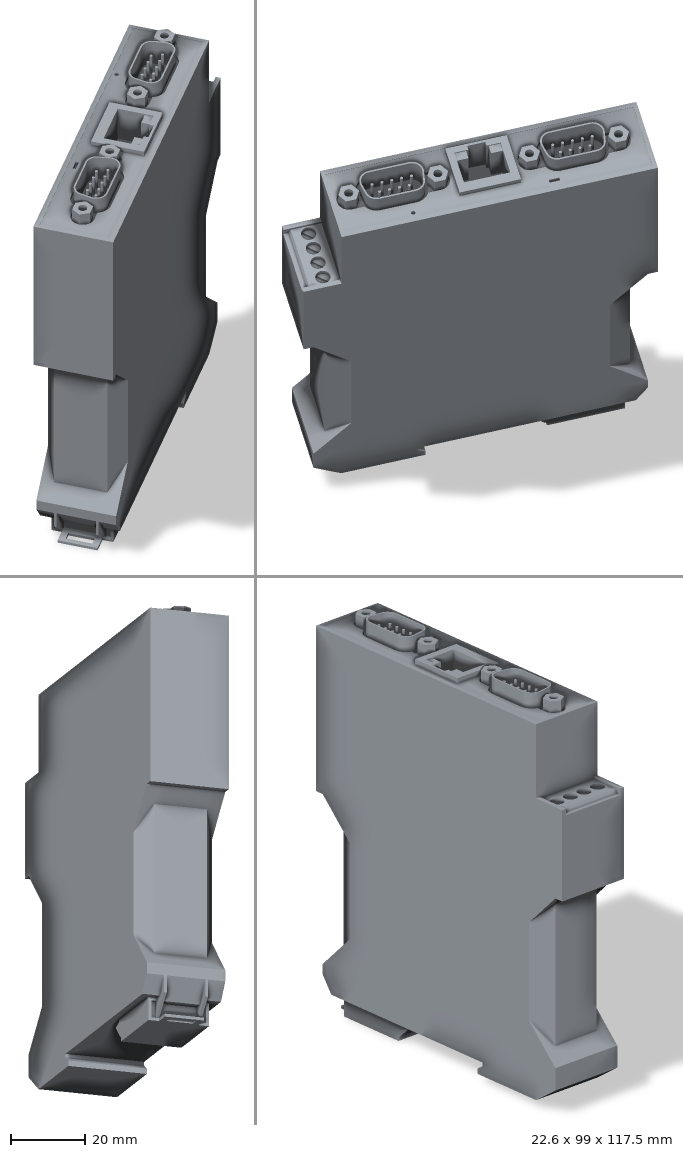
import cadquery as cq
import math

WIDTH = 22.6
LENGTH = 99.0
HEIGHT = 117.5
HALF_WIDTH = WIDTH / 2
HALF_LENGTH = LENGTH / 2

ROOF_Z = 113.5
STEP_Y = 38.9
STEP_Z = 91.6
HEAD_BOTTOM_Z = 64.6
SHOULDER_Y = 46.8
WAIST_Y = 36.1
WAIST_TOP_Z = HEAD_BOTTOM_Z - (SHOULDER_Y - WAIST_Y)
WAIST_BOTTOM_Z = 25.1
FOOT_TOP_Z = WAIST_BOTTOM_Z - (SHOULDER_Y - WAIST_Y)
BASE_Z = 6.5

REAR_FOOT_Z = 2.5
REAR_CHAMFER_Z = 7.9
REAR_CHAMFER_Y = 39.0
REAR_HOOK_Y = 15.4
REAR_NOTCH_Y = 17.5
REAR_HOOK_Z = 4.0
REAR_NOTCH_Z = 5.4

FRONT_CHAMFER_Y = 43.4
FRONT_CHAMFER_Z = 11.3

CORE_Y = 42.7
CORE_FACE_HALF = 7.5

RIM_SIDE = 1.4
RIM_REAR = 1.0
RIM_FRONT = 1.2
PANEL_DROP = 0.1
PANEL_Z = ROOF_Z - PANEL_DROP
PANEL_HALF = HALF_WIDTH - RIM_SIDE

TERMINAL_DROP = 0.7
TERMINAL_EDGE_Y = 47.5
TERMINAL_LIP_Y = 48.2
TERMINAL_LIP_DROP = 1.9
SCREW_Y = 43.1
SCREW_PITCH = 4.9
SCREW_COUNT = 4
SCREW_DIAMETER = 4.1
SCREW_SINK = 1.4
SCREW_SLOT_WIDTH = 0.7
SCREW_SLOT_DEPTH = 0.6

CONNECTOR_X = 0.2
CONNECTOR_YS = (21.4, -29.1)
SHELL_SHIFT = 0.18
SHELL_WIDTH = 9.6
SHELL_SHORT_HALF = 7.9
SHELL_TAPER = 10
SHELL_RADIUS = 3.3
SHELL_WALL = 0.5
SHELL_DEPTH = 3.5
CUTOUT_GAP = 0.9
CUTOUT_DEPTH = 1.2
CONNECTOR_FLOOR_Z = PANEL_Z - CUTOUT_DEPTH
SHELL_FLOOR_Z = PANEL_Z - SHELL_DEPTH
LUG_SPACING = 24.9
LUG_RADIUS = 3.3
NUT_FLATS = 5.0
NUT_TOP_Z = 116.6
NUT_HOLE = 2.5
PIN_PITCH = 2.76
PIN_ROW_OFFSET = 1.4
PIN_DIAMETER = 0.8
PIN_TOP_Z = 115.9

SOCKET_X = (-6.3, 8.7)
SOCKET_Y = (-12.6, 4.6)
SOCKET_TOP_Z = 115.0
PORT_X = (-3.4, 6.7)
PORT_Y = (-10.3, 2.6)
PORT_DEPTH = 10.6
LATCH_KEY_X = 8.0
LATCH_KEY_WIDTH = 5.0
LAMP_WIDTH = 2.5
LAMP_LENGTH = 3.3
LAMP_DROP = 0.4

LED_X = -8.5
LED_Y = 18.1
LED_DIAMETER = 1.2
SWITCH_X = -7.9
SWITCH_Y = -21.5
SWITCH_WIDTH = 0.9
SWITCH_LENGTH = 2.9
INDICATOR_DEPTH = 1.2

LATCH_HALF = 8.7
LATCH_FRONT_Y = -41.0
LATCH_WALL = 0.8
LATCH_MOUTH_DEPTH = 1.2
LATCH_TIP_Y = -15.0
LATCH_TIP_Z = 5.0
LATCH_ROOT_Y = -17.6
LATCH_ROOT_Z = 5.8
LATCH_HEEL_Y = -19.2
LATCH_HEEL_TOP_Y = -18.6
LATCH_HEEL_Z = 1.4
TAB_FRONT_Y = -45.6
TAB_HALF = 5.6
TAB_FRAME_SIDE = 1.9
TAB_FRAME_FRONT = 1.4
TAB_FRAME_REAR = 0.8
GUIDE_OUTER = 6.3
GUIDE_WALL = 0.8
GUIDE_CORNER_Z = BASE_Z
GUIDE_FOOT_Y = -40.4
TONGUE_BOTTOM_Z = 5.3


def box(x_range, y_range, z_range):
    """Box between two limits along each axis."""
    size = [high - low for low, high in (x_range, y_range, z_range)]
    corner = (x_range[0], y_range[0], z_range[0])
    return cq.Workplane("XY").box(*size, centered=False).translate(corner)


def side_plate(points, x_low, x_high):
    """Extrude a (Y, Z) outline between two X positions."""
    plate = cq.Workplane("YZ").polyline(points).close().extrude(x_high - x_low)
    return plate.translate((x_low, 0, 0))


def rod(x, y, diameter, z_low, z_high):
    """Upright cylinder."""
    return cq.Workplane("XY", origin=(x, y, z_low)).circle(diameter / 2).extrude(z_high - z_low)


def make_housing():
    outline = [
        (-HALF_LENGTH, ROOF_Z),
        (STEP_Y, ROOF_Z),
        (STEP_Y, STEP_Z),
        (HALF_LENGTH, STEP_Z),
        (HALF_LENGTH, HEAD_BOTTOM_Z),
        (SHOULDER_Y, HEAD_BOTTOM_Z),
        (WAIST_Y, WAIST_TOP_Z),
        (WAIST_Y, WAIST_BOTTOM_Z),
        (SHOULDER_Y, FOOT_TOP_Z),
        (SHOULDER_Y, REAR_CHAMFER_Z),
        (REAR_CHAMFER_Y, REAR_FOOT_Z),
        (REAR_HOOK_Y, REAR_FOOT_Z),
        (REAR_HOOK_Y, REAR_HOOK_Z),
        (REAR_NOTCH_Y, REAR_NOTCH_Z),
        (REAR_NOTCH_Y, BASE_Z),
        (-FRONT_CHAMFER_Y, BASE_Z),
        (-SHOULDER_Y, FRONT_CHAMFER_Z),
        (-SHOULDER_Y, FOOT_TOP_Z),
        (-WAIST_Y, WAIST_BOTTOM_Z),
        (-WAIST_Y, WAIST_TOP_Z),
        (-SHOULDER_Y, HEAD_BOTTOM_Z),
        (-HALF_LENGTH, HEAD_BOTTOM_Z),
    ]
    return side_plate(outline, -HALF_WIDTH, HALF_WIDTH)


def make_core():
    """Bevelled core that bridges the waist, ending on its sloped faces."""
    core_outline = [
        (HALF_WIDTH, WAIST_Y),
        (CORE_FACE_HALF, CORE_Y),
        (-CORE_FACE_HALF, CORE_Y),
        (-HALF_WIDTH, WAIST_Y),
        (-HALF_WIDTH, -WAIST_Y),
        (-CORE_FACE_HALF, -CORE_Y),
        (CORE_FACE_HALF, -CORE_Y),
        (HALF_WIDTH, -WAIST_Y),
    ]
    reach = CORE_Y - WAIST_Y
    bottom = WAIST_BOTTOM_Z - reach
    top = WAIST_TOP_Z + reach
    base = cq.Workplane("XY", origin=(0, 0, bottom))
    return base.polyline(core_outline).close().extrude(top - bottom)


def make_panel_recess():
    panel_y = (-HALF_LENGTH + RIM_FRONT, STEP_Y - RIM_REAR)
    return box((-PANEL_HALF, PANEL_HALF), panel_y, (PANEL_Z, HEIGHT))


def make_terminal_recess():
    """Sunken terminal surface sloping to a lower lip at the rear, and four screw seats."""
    surface_z = STEP_Z - TERMINAL_DROP
    lip_z = STEP_Z - TERMINAL_LIP_DROP
    outline = [
        (STEP_Y, STEP_Z),
        (STEP_Y, surface_z),
        (TERMINAL_EDGE_Y, surface_z),
        (TERMINAL_LIP_Y, lip_z),
        (HALF_LENGTH, lip_z),
        (HALF_LENGTH, STEP_Z),
    ]
    recess = side_plate(outline, -PANEL_HALF, PANEL_HALF)
    head_z = surface_z - SCREW_SINK
    for index in range(SCREW_COUNT):
        x = (index - (SCREW_COUNT - 1) / 2) * SCREW_PITCH
        seat = rod(x, SCREW_Y, SCREW_DIAMETER, head_z, surface_z)
        slot = (
            cq.Workplane("XY", origin=(x, SCREW_Y, head_z - SCREW_SLOT_DEPTH))
            .transformed(rotate=(0, 0, 45))
            .rect(SCREW_DIAMETER, SCREW_SLOT_WIDTH)
            .extrude(SCREW_SLOT_DEPTH)
            .intersect(rod(x, SCREW_Y, SCREW_DIAMETER, head_z - SCREW_SLOT_DEPTH, head_z))
        )
        recess = recess.union(seat).union(slot)
    return recess


def shell_prism(center_y, offset, z_low, z_high):
    """D-shaped prism, its outline grown outward by the given offset."""
    center_x = CONNECTOR_X + SHELL_SHIFT
    long_half = SHELL_SHORT_HALF + SHELL_WIDTH * math.tan(math.radians(SHELL_TAPER))
    corners = [
        (center_x - SHELL_WIDTH / 2, center_y - SHELL_SHORT_HALF),
        (center_x + SHELL_WIDTH / 2, center_y - long_half),
        (center_x + SHELL_WIDTH / 2, center_y + long_half),
        (center_x - SHELL_WIDTH / 2, center_y + SHELL_SHORT_HALF),
    ]
    return (
        cq.Workplane("XY", origin=(0, 0, z_low))
        .polyline(corners)
        .close()
        .offset2D(offset, "intersection")
        .extrude(z_high - z_low)
        .edges("|Z")
        .fillet(SHELL_RADIUS + offset)
    )


def make_connector_cutout(center_y):
    """Panel opening around the shell, with a round-ended lug at each nut."""
    cutout = shell_prism(center_y, CUTOUT_GAP, CONNECTOR_FLOOR_Z, PANEL_Z)
    lugs = (
        cq.Workplane("XY", origin=(CONNECTOR_X, center_y, CONNECTOR_FLOOR_Z))
        .slot2D(LUG_SPACING + 2 * LUG_RADIUS, 2 * LUG_RADIUS, 90)
        .extrude(CUTOUT_DEPTH)
    )
    return cutout.union(lugs)


def make_nut(y):
    height = NUT_TOP_Z - CONNECTOR_FLOOR_Z
    return (
        cq.Workplane("XY", origin=(CONNECTOR_X, y, CONNECTOR_FLOOR_Z))
        .transformed(rotate=(0, 0, 90))
        .polygon(6, NUT_FLATS / math.cos(math.pi / 6))
        .circle(NUT_HOLE / 2)
        .extrude(height)
    )


def make_pins(center_y):
    pins = cq.Workplane("XY")
    for row_offset, pin_count in ((-PIN_ROW_OFFSET, 4), (PIN_ROW_OFFSET, 5)):
        x = CONNECTOR_X + SHELL_SHIFT + row_offset
        for index in range(pin_count):
            y = center_y + (index - (pin_count - 1) / 2) * PIN_PITCH
            pins = pins.add(rod(x, y, PIN_DIAMETER, SHELL_FLOOR_Z, PIN_TOP_Z))
    return pins.combine()


def add_connector(body, center_y):
    """Open the panel and fit a hollow shell, its pins and a nut at each end."""
    body = body.cut(make_connector_cutout(center_y))
    body = body.union(shell_prism(center_y, 0.0, CONNECTOR_FLOOR_Z, HEIGHT))
    body = body.cut(shell_prism(center_y, -SHELL_WALL, SHELL_FLOOR_Z, HEIGHT))
    body = body.union(make_pins(center_y))
    for side in (-1, 1):
        body = body.union(make_nut(center_y + side * LUG_SPACING / 2))
    return body


def make_port():
    """Plug opening with a latch keyway and two lamps filling its corners."""
    bottom = SOCKET_TOP_Z - PORT_DEPTH
    heights = (bottom, SOCKET_TOP_Z)
    middle_y = sum(PORT_Y) / 2
    key_y = (middle_y - LATCH_KEY_WIDTH / 2, middle_y + LATCH_KEY_WIDTH / 2)
    port = box(PORT_X, PORT_Y, heights).union(box((PORT_X[1], LATCH_KEY_X), key_y, heights))
    lamp_x = (PORT_X[1] - LAMP_WIDTH, PORT_X[1])
    lamp_z = (bottom, SOCKET_TOP_Z - LAMP_DROP)
    port = port.cut(box(lamp_x, (PORT_Y[0], PORT_Y[0] + LAMP_LENGTH), lamp_z))
    return port.cut(box(lamp_x, (PORT_Y[1] - LAMP_LENGTH, PORT_Y[1]), lamp_z))


def make_indicator_openings():
    floor_z = PANEL_Z - INDICATOR_DEPTH
    led = rod(LED_X, LED_Y, LED_DIAMETER, floor_z, PANEL_Z)
    switch = (
        cq.Workplane("XY", origin=(SWITCH_X, SWITCH_Y, floor_z))
        .rect(SWITCH_WIDTH, SWITCH_LENGTH)
        .extrude(INDICATOR_DEPTH)
    )
    return led.union(switch)


def make_latch():
    """Sliding hook under the housing, open at the front, with a pull tab."""
    outline = [
        (LATCH_FRONT_Y, 0),
        (LATCH_HEEL_Y, 0),
        (LATCH_HEEL_Y, LATCH_HEEL_Z),
        (LATCH_HEEL_TOP_Y, LATCH_HEEL_Z),
        (LATCH_TIP_Y, LATCH_TIP_Z),
        (LATCH_ROOT_Y, LATCH_ROOT_Z),
        (LATCH_ROOT_Y, BASE_Z),
        (LATCH_FRONT_Y, BASE_Z),
    ]
    latch = side_plate(outline, -LATCH_HALF, LATCH_HALF)
    mouth_half = LATCH_HALF - LATCH_WALL
    mouth = box(
        (-mouth_half, mouth_half),
        (LATCH_FRONT_Y, LATCH_FRONT_Y + LATCH_MOUTH_DEPTH),
        (LATCH_WALL, BASE_Z - LATCH_WALL),
    )
    tab = box((-TAB_HALF, TAB_HALF), (TAB_FRONT_Y, LATCH_FRONT_Y), (0, LATCH_WALL))
    window_half = TAB_HALF - TAB_FRAME_SIDE
    window = box(
        (-window_half, window_half),
        (TAB_FRONT_Y + TAB_FRAME_FRONT, LATCH_FRONT_Y - TAB_FRAME_REAR),
        (0, LATCH_WALL),
    )
    return latch.cut(mouth).union(tab).cut(window)


def make_latch_guide():
    """Two thin cheeks with a solid tongue between them, in front of the latch."""
    back_y = LATCH_FRONT_Y + LATCH_MOUTH_DEPTH
    cheek_outline = [
        (-SHOULDER_Y, FRONT_CHAMFER_Z),
        (-SHOULDER_Y, GUIDE_CORNER_Z),
        (GUIDE_FOOT_Y, LATCH_WALL),
        (back_y, LATCH_WALL),
        (back_y, FRONT_CHAMFER_Z),
    ]
    slope = (SHOULDER_Y - FRONT_CHAMFER_Y) / (FRONT_CHAMFER_Z - BASE_Z)
    tongue_y = -FRONT_CHAMFER_Y + slope * (BASE_Z - TONGUE_BOTTOM_Z)
    tongue_outline = [
        (-SHOULDER_Y, FRONT_CHAMFER_Z),
        (tongue_y, TONGUE_BOTTOM_Z),
        (back_y, TONGUE_BOTTOM_Z),
        (back_y, FRONT_CHAMFER_Z),
    ]
    inner = GUIDE_OUTER - GUIDE_WALL
    guide = side_plate(tongue_outline, -inner, inner)
    guide = guide.union(side_plate(cheek_outline, -GUIDE_OUTER, -inner))
    return guide.union(side_plate(cheek_outline, inner, GUIDE_OUTER))


result = make_housing().union(make_core())
result = result.cut(make_panel_recess())
result = result.cut(make_terminal_recess())
result = result.cut(make_indicator_openings())
for connector_y in CONNECTOR_YS:
    result = add_connector(result, connector_y)
result = result.union(box(SOCKET_X, SOCKET_Y, (PANEL_Z, SOCKET_TOP_Z)))
result = result.cut(make_port())
result = result.union(make_latch()).union(make_latch_guide())